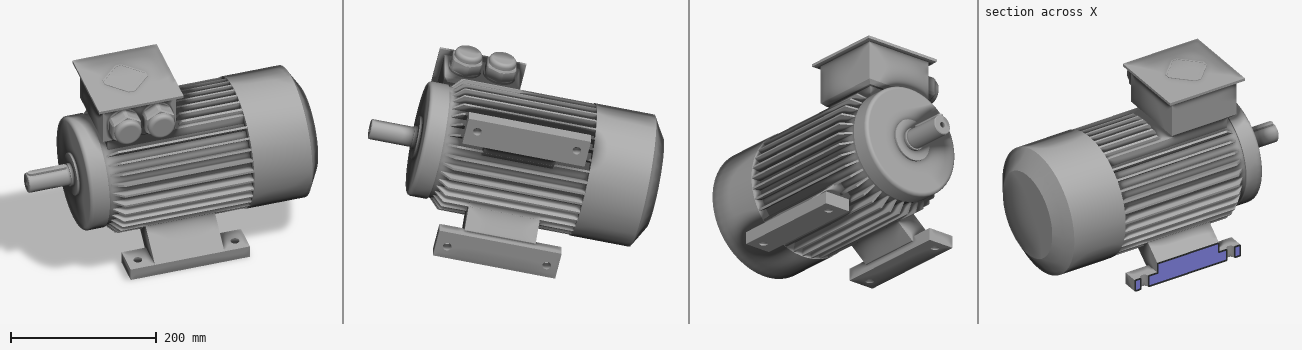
import cadquery as cq
import math


SHAFT_D = 28
SHAFT_LENGTH = 60
SHAFT_CHAMFER = 1
CENTER_HOLE_D = 8.38
CENTER_HOLE_DEPTH = 22
CENTER_HOLE_TIP_ANGLE = 118
KEY_WIDTH = 8
KEY_LENGTH = 56
KEY_END_GAP = 1.5
KEY_TOP_Z = 17
COLLAR_D = 32
COLLAR_FRONT_Y = -0.5
BOSS_D = 60
BOSS_FRONT_Y = 4

SHIELD_D = 160
SHIELD_FRONT_Y = 7.3
SHIELD_BACK_Y = 34.5
SHIELD_FILLET = 5
BARREL_D = 155
COVER_D = 185
COVER_REAR_D = 127
COVER_FRONT_Y = 239
COVER_CONE_Y = 322.5
COVER_BACK_Y = 340

RIB_TIP_R = 91.5
RIB_THICKNESS = 3
RIB_ANGLE_STEP = 10
RIB_LAST_ANGLE = 50
RIB_FRONT_Y = 39.3
RIB_TAPER = RIB_TIP_R - BARREL_D / 2
TOP_RIB_PITCH = 12
TOP_RIBS_PER_SIDE = 3
TOP_RIB_FRONT_Y = 147.5
TOP_RIB_CHAMFER = 4.7

AXIS_HEIGHT = 112
FOOT_SPAN = 226
PAD_WIDTH = 41
PAD_HEIGHT = 18
PAD_LENGTH = 172
FOOT_CENTER_Y = 140
LEG_LENGTH = 100
LEG_CENTER_Y = 139
LEG_SLOPE = 40
LEG_INNER_OVERHANG = 2
LEG_INNER_RISE = 10.7
HOLE_D = 12
HOLE_SPACING_X = 190
HOLE_SPACING_Y = 140

BOX_CENTER_Y = 86
PEDESTAL_WIDTH = 86
RIDGE_TOP_Z = 78
BOX_WIDTH = 105
BOX_BOTTOM_Z = 83
BOX_CHAMFER = 5
LID_WIDTH = 121.5
LID_BOTTOM_Z = 144
LID_TOP_Z = 148
PLATE_CENTER_Y = 82
PLATE_WIDTH = 62
PLATE_CORNER_FLAT = 9
PLATE_HEIGHT = 1
PLATE_BORDER = 2.2
PLATE_RECESS = 0.5

GLAND_SPACING_Y = 48
GLAND_Z = 116
GLAND_NUT_D = 45.5
GLAND_FLATS = 41.5
GLAND_CAP_D = 38
GLAND_BASE_LENGTH = 3.2
GLAND_HEX_LENGTH = 14.6
GLAND_TAPER_LENGTH = 2.6
GLAND_TAPER_ANGLE = 32
GLAND_CAP_LENGTH = 8.8
GLAND_CAP_FILLET = 5


def box_between(x_min, x_max, y_min, y_max, z_min, z_max):
    size = (x_max - x_min, y_max - y_min, z_max - z_min)
    return cq.Workplane("XY").box(*size, centered=False).translate((x_min, y_min, z_min))


def cylinder_along_y(diameter, y_start, y_end):
    circle = cq.Workplane("XZ", origin=(0, y_start, 0)).circle(diameter / 2)
    return circle.extrude(y_start - y_end)


def revolve_about_y(profile):
    """Revolve a closed (radius, y) profile about the shaft axis."""
    return cq.Workplane("XY").polyline(profile).close().revolve(360, (0, 0, 0), (0, 1, 0))


def make_shaft():
    shaft = cylinder_along_y(SHAFT_D, -SHAFT_LENGTH, BOSS_FRONT_Y).faces("<Y").chamfer(SHAFT_CHAMFER)
    collar = cylinder_along_y(COLLAR_D, COLLAR_FRONT_Y, BOSS_FRONT_Y)
    boss = cylinder_along_y(BOSS_D, BOSS_FRONT_Y, SHIELD_FRONT_Y)
    key_center_y = -SHAFT_LENGTH + KEY_END_GAP + KEY_LENGTH / 2
    key = (
        cq.Workplane("XY")
        .center(0, key_center_y)
        .slot2D(KEY_LENGTH, KEY_WIDTH, 90)
        .extrude(KEY_TOP_Z)
    )
    hole_r = CENTER_HOLE_D / 2
    hole_end_y = -SHAFT_LENGTH + CENTER_HOLE_DEPTH
    tip_length = hole_r / math.tan(math.radians(CENTER_HOLE_TIP_ANGLE / 2))
    center_hole = revolve_about_y([
        (0, -SHAFT_LENGTH),
        (hole_r, -SHAFT_LENGTH),
        (hole_r, hole_end_y),
        (0, hole_end_y + tip_length),
    ])
    return shaft.union(collar).union(boss).union(key).cut(center_hole)


def make_housing():
    shield = cylinder_along_y(SHIELD_D, SHIELD_FRONT_Y, SHIELD_BACK_Y)
    shield = shield.faces("<Y").edges().fillet(SHIELD_FILLET)
    barrel = cylinder_along_y(BARREL_D, SHIELD_BACK_Y, COVER_FRONT_Y)
    cover = revolve_about_y([
        (0, COVER_FRONT_Y),
        (COVER_D / 2, COVER_FRONT_Y),
        (COVER_D / 2, COVER_CONE_Y),
        (COVER_REAR_D / 2, COVER_BACK_Y),
        (0, COVER_BACK_Y),
    ])
    return shield.union(barrel).union(cover)


def rib_envelope(front_y, taper):
    """Cylinder through the rib tips, narrowed at 45 degrees at its front end."""
    return revolve_about_y([
        (0, front_y),
        (RIB_TIP_R - taper, front_y),
        (RIB_TIP_R, front_y + taper),
        (RIB_TIP_R, COVER_FRONT_Y),
        (0, COVER_FRONT_Y),
    ])


def make_radial_ribs():
    half = RIB_THICKNESS / 2
    root_r = BARREL_D / 2 - RIB_THICKNESS
    blade = box_between(root_r, COVER_D / 2, RIB_FRONT_Y, COVER_FRONT_Y, -half, half)
    ribs = cq.Workplane("XY")
    first_angle = -180 - RIB_LAST_ANGLE
    for angle in range(first_angle, RIB_LAST_ANGLE + 1, RIB_ANGLE_STEP):
        ribs = ribs.add(blade.rotate((0, 0, 0), (0, 1, 0), -angle))
    return ribs.combine().intersect(rib_envelope(RIB_FRONT_Y, RIB_TAPER))


def make_top_ribs():
    """Upright parallel ribs standing on the ridge behind the terminal box."""
    half = RIB_THICKNESS / 2
    root_z = RIDGE_TOP_Z - RIB_THICKNESS
    ribs = cq.Workplane("XY")
    for index in range(-TOP_RIBS_PER_SIDE, TOP_RIBS_PER_SIDE + 1):
        x = index * TOP_RIB_PITCH
        rib = box_between(x - half, x + half, TOP_RIB_FRONT_Y, COVER_FRONT_Y, root_z, COVER_D / 2)
        ribs = ribs.add(rib)
    return ribs.combine().intersect(rib_envelope(TOP_RIB_FRONT_Y, TOP_RIB_CHAMFER))


def make_foot():
    """Foot on the +X side: a drilled pad and a sloping leg up to the barrel."""
    outer_x = FOOT_SPAN / 2
    inner_x = outer_x - PAD_WIDTH
    pad_top_z = PAD_HEIGHT - AXIS_HEIGHT
    leg_low_x = inner_x - LEG_INNER_OVERHANG
    leg_low_z = LEG_INNER_RISE - AXIS_HEIGHT
    upper_x = leg_low_x / 2
    slope = math.tan(math.radians(LEG_SLOPE))
    leg = (
        cq.Workplane("XZ", origin=(0, LEG_CENTER_Y, 0))
        .moveTo(outer_x, pad_top_z)
        .lineTo(upper_x, pad_top_z + slope * (outer_x - upper_x))
        .lineTo(upper_x, leg_low_z + slope * (leg_low_x - upper_x))
        .lineTo(leg_low_x, leg_low_z)
        .lineTo(inner_x, leg_low_z)
        .lineTo(inner_x, pad_top_z)
        .close()
        .extrude(LEG_LENGTH / 2, both=True)
    )
    pad_start_y = FOOT_CENTER_Y - PAD_LENGTH / 2
    pad = box_between(inner_x, outer_x, pad_start_y, pad_start_y + PAD_LENGTH, -AXIS_HEIGHT, pad_top_z)
    hole_x = HOLE_SPACING_X / 2
    hole_points = [(hole_x, FOOT_CENTER_Y + side * HOLE_SPACING_Y / 2) for side in (-1, 1)]
    holes = (
        cq.Workplane("XY", origin=(0, 0, -AXIS_HEIGHT))
        .pushPoints(hole_points)
        .circle(HOLE_D / 2)
        .extrude(PAD_HEIGHT)
    )
    return pad.cut(holes).union(leg)


def square_block(width, z_min, z_max):
    """Square block centred on the terminal box."""
    half = width / 2
    return box_between(-half, half, BOX_CENTER_Y - half, BOX_CENTER_Y + half, z_min, z_max)


def plate_block(inset, z_min, z_max):
    """Square turned 45 degrees with trimmed corners, inset evenly from the plate outline."""
    reach = PLATE_WIDTH / 2 - inset
    flat = PLATE_CORNER_FLAT / 2 - inset * math.tan(math.radians(22.5))
    outline = [
        (reach, flat), (flat, reach), (-flat, reach), (-reach, flat),
        (-reach, -flat), (-flat, -reach), (flat, -reach), (reach, -flat),
    ]
    plate = cq.Workplane("XY", origin=(0, PLATE_CENTER_Y, z_min)).polyline(outline).close()
    return plate.extrude(z_max - z_min)


def make_terminal_box():
    half = PEDESTAL_WIDTH / 2
    pedestal = square_block(PEDESTAL_WIDTH, 0, BOX_BOTTOM_Z)
    ridge = box_between(-half, half, BOX_CENTER_Y, COVER_FRONT_Y, 0, RIDGE_TOP_Z)
    body = square_block(BOX_WIDTH, BOX_BOTTOM_Z, LID_BOTTOM_Z).faces("<Z").chamfer(BOX_CHAMFER)
    lid = square_block(LID_WIDTH, LID_BOTTOM_Z, LID_TOP_Z)
    plate_top_z = LID_TOP_Z + PLATE_HEIGHT
    plate = plate_block(0, LID_TOP_Z, plate_top_z)
    recess = plate_block(PLATE_BORDER, plate_top_z - PLATE_RECESS, plate_top_z)
    return pedestal.union(ridge).union(body).union(lid).union(plate.cut(recess))


def make_gland(center_y):
    """Cable gland on the +X wall of the terminal box: round base, hexagon and rounded cap."""

    def section(x):
        return cq.Workplane("YZ", origin=(x, center_y, GLAND_Z))

    hex_x = BOX_WIDTH / 2 + GLAND_BASE_LENGTH
    taper_x = hex_x + GLAND_HEX_LENGTH
    cap_x = taper_x + GLAND_TAPER_LENGTH
    across_corners = GLAND_FLATS / math.cos(math.radians(30))
    nut_limit = section(hex_x).circle(GLAND_NUT_D / 2).extrude(cap_x - hex_x)

    def hexagon(x):
        return section(x).transformed(rotate=(0, 0, 90)).polygon(6, across_corners)

    straight = hexagon(hex_x).extrude(GLAND_HEX_LENGTH)
    tapered = hexagon(taper_x).extrude(GLAND_TAPER_LENGTH, taper=GLAND_TAPER_ANGLE)
    nut = straight.union(tapered).intersect(nut_limit)
    base = section(BOX_WIDTH / 2).circle(GLAND_NUT_D / 2).extrude(GLAND_BASE_LENGTH)
    cap = section(cap_x).circle(GLAND_CAP_D / 2).extrude(GLAND_CAP_LENGTH)
    cap = cap.faces(">X").edges().fillet(GLAND_CAP_FILLET)
    return base.union(nut).union(cap)


foot = make_foot()
result = make_housing().union(make_shaft())
result = result.union(make_radial_ribs())
result = result.union(make_terminal_box()).union(make_top_ribs())
result = result.union(foot).union(foot.mirror("YZ"))
for side in (-1, 1):
    result = result.union(make_gland(BOX_CENTER_Y + side * GLAND_SPACING_Y / 2))